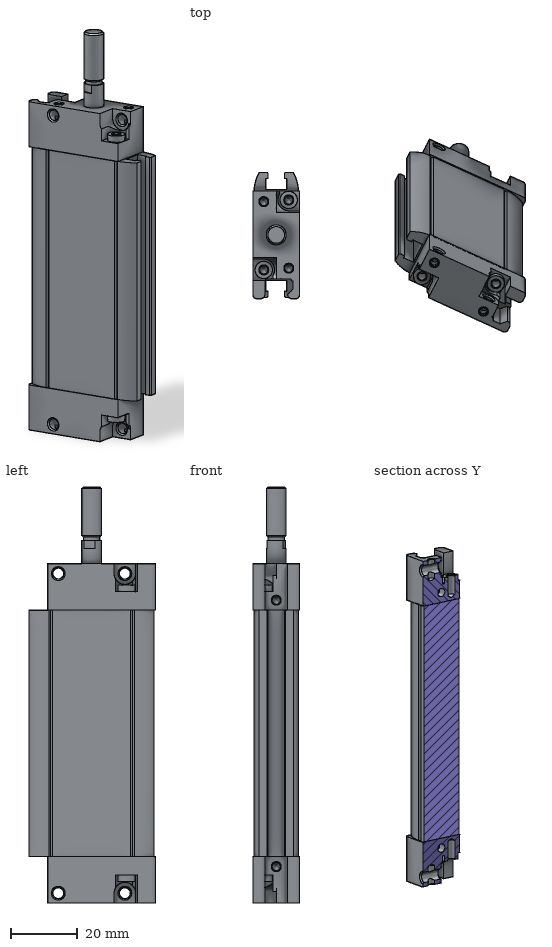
import cadquery as cq
import math


TOTAL_HEIGHT = 125.0
HEAD_HEIGHT = 14.0
ROD_PROJECTION = 23.0
TOTAL_DEPTH = 38.0
BARREL_LENGTH = TOTAL_HEIGHT - ROD_PROJECTION - 2 * HEAD_HEIGHT
LOWER_JOINT_Z = HEAD_HEIGHT
UPPER_JOINT_Z = LOWER_JOINT_Z + BARREL_LENGTH

BARREL_HALF_WIDTH = 6.7
BARREL_HALF_DEPTH = 18.8
FLANK_END_Y = 12.85
JAW_RADIUS = 12.0
GROOVE_WIDTH = 1.1
GROOVE_DEPTH = GROOVE_WIDTH / 2
SLOT_HALF_WIDTH = 3.15
SLOT_FLOOR_Y = 13.7
LIP_HALF_GAP = 2.45
LIP_INNER_Y = 16.9
LIP_CHAMFER = 0.37

HEAD_HALF_WIDTH = 7.0
HEAD_HALF_DEPTH = 13.2
ARM_END_Y = BARREL_HALF_DEPTH - TOTAL_DEPTH
ARM_INNER_X = 3.45
ARM_TIP_FILLET = 1.15
ARM_ROOT_FILLET = 0.7
UNDERCUT_X = 5.1
UNDERCUT_STRAIGHT_END_Y = -16.2
UNDERCUT_END_Y = UNDERCUT_STRAIGHT_END_Y - (UNDERCUT_X - ARM_INNER_X)

M3_BORE = 2.46
M3_MOUTH = 3.0
M3_DEPTH = 6.0
M4_BORE = 3.24
M4_MOUTH = 4.13
DRILL_TIP_ANGLE = 118.0
HOLE_X = 3.75
HOLE_Y = 10.0
CROSS_HOLE_DROP = 3.0
PORT_DROP = 11.0

POCKET_HALF_WIDTH = 3.25
SCREW_Y = 10.5
SCREW_BORE = 6.5
POCKET_OUTER_Y = 13.75
WINDOW_END_X = -1.0
SCREW_FLOOR_DROP = 8.4
SCREW_HEAD_DIAMETER = 5.2
SCREW_HEAD_HEIGHT = 1.9

ROD_DIAMETER = 6.0
NECK_DIAMETER = 5.0
ROD_CHAMFER = (ROD_DIAMETER - NECK_DIAMETER) / 2
THREAD_LENGTH = 15.0
NECK_LENGTH = 1.0
ACROSS_FLATS = 5.0
FLAT_LENGTH = 2.5
FLAT_ANGLE = -15.0


def barrel_quarter():
    """The +X, +Y quarter of the barrel, with one jaw beside the sensor slot."""
    jaw_reach = BARREL_HALF_DEPTH - FLANK_END_Y

    def jaw_x(distance):
        """X of the rounded jaw at a distance beyond the end of the flank."""
        return BARREL_HALF_WIDTH - JAW_RADIUS + math.sqrt(JAW_RADIUS**2 - distance**2)

    return (
        cq.Workplane("XY")
        .moveTo(0, 0)
        .lineTo(BARREL_HALF_WIDTH, 0)
        .lineTo(BARREL_HALF_WIDTH, FLANK_END_Y - GROOVE_WIDTH)
        .lineTo(BARREL_HALF_WIDTH - GROOVE_DEPTH, FLANK_END_Y - GROOVE_WIDTH / 2)
        .lineTo(BARREL_HALF_WIDTH, FLANK_END_Y)
        .threePointArc(
            (jaw_x(jaw_reach / 2), FLANK_END_Y + jaw_reach / 2),
            (jaw_x(jaw_reach), BARREL_HALF_DEPTH),
        )
        .lineTo(LIP_HALF_GAP + LIP_CHAMFER, BARREL_HALF_DEPTH)
        .lineTo(LIP_HALF_GAP, BARREL_HALF_DEPTH - LIP_CHAMFER)
        .lineTo(LIP_HALF_GAP, LIP_INNER_Y)
        .lineTo(SLOT_HALF_WIDTH, LIP_INNER_Y)
        .lineTo(SLOT_HALF_WIDTH, SLOT_FLOOR_Y)
        .lineTo(0, SLOT_FLOOR_Y)
        .close()
        .extrude(BARREL_LENGTH)
    )


def make_barrel():
    quarter = barrel_quarter()
    half = quarter.union(quarter.mirror("XZ"))
    barrel = half.union(half.mirror("YZ")).clean()
    return barrel.translate((0, 0, LOWER_JOINT_Z))


def threaded_hole(bore, mouth, depth, origin, direction):
    """Cutter for a blind hole with a 45 degree mouth chamfer and a conical drill tip."""
    chamfer = (mouth - bore) / 2
    tip = bore / 2 / math.tan(math.radians(DRILL_TIP_ANGLE / 2))
    section = (
        cq.Workplane("XZ")
        .moveTo(0, 0)
        .lineTo(mouth / 2, 0)
        .lineTo(bore / 2, -chamfer)
        .lineTo(bore / 2, -depth)
        .lineTo(0, -depth - tip)
        .close()
        .revolve(360, (0, 0, 0), (0, 1, 0))
    )
    plane = cq.Plane(origin=origin, normal=direction)
    return cq.Workplane(section.val().located(cq.Location(plane)))


def cross_hole():
    """Cutter along X from the -X face to the pocket wall at X = 0, chamfered at both ends."""
    chamfer = (M4_MOUTH - M4_BORE) / 2
    section = (
        cq.Workplane("XY")
        .moveTo(-HEAD_HALF_WIDTH, 0)
        .lineTo(-HEAD_HALF_WIDTH, M4_MOUTH / 2)
        .lineTo(-HEAD_HALF_WIDTH + chamfer, M4_BORE / 2)
        .lineTo(-chamfer, M4_BORE / 2)
        .lineTo(0, M4_MOUTH / 2)
        .lineTo(0, 0)
        .close()
        .revolve(360, (0, 0, 0), (1, 0, 0))
    )
    return section.translate((0, HOLE_Y, HEAD_HEIGHT - CROSS_HOLE_DROP))


def corner_box(end_x, start_y, end_y, floor_z):
    """Box from the -X face to end_x, open at the outer face of the head."""
    return (
        cq.Workplane("XY")
        .box(HEAD_HALF_WIDTH + end_x, end_y - start_y, HEAD_HEIGHT - floor_z, centered=False)
        .translate((-HEAD_HALF_WIDTH, start_y, floor_z))
    )


def screw_pocket():
    """Cutter for the pocket in the -X, -Y corner of a head."""
    wall_y = -HOLE_Y + POCKET_HALF_WIDTH
    axis_z = HEAD_HEIGHT - CROSS_HOLE_DROP
    floor_z = HEAD_HEIGHT - SCREW_FLOOR_DROP
    bore_radius = SCREW_BORE / 2
    bore_wall_y = -SCREW_Y + bore_radius
    window_y = -SCREW_Y - math.sqrt(bore_radius**2 - (WINDOW_END_X + HOLE_X) ** 2)

    upper = corner_box(0, -POCKET_OUTER_Y, wall_y, axis_z)
    rounded_floor = (
        cq.Workplane("YZ", origin=(-HEAD_HALF_WIDTH, -HOLE_Y, axis_z))
        .circle(POCKET_HALF_WIDTH)
        .extrude(HEAD_HALF_WIDTH)
    )
    screw_bore = (
        cq.Workplane("XY", origin=(-HOLE_X, -SCREW_Y, floor_z))
        .circle(bore_radius)
        .extrude(SCREW_FLOOR_DROP)
    )
    side_opening = corner_box(-HOLE_X, -POCKET_OUTER_Y, bore_wall_y, floor_z)
    front_window = corner_box(WINDOW_END_X, -POCKET_OUTER_Y, window_y, floor_z)
    screw_head = (
        cq.Workplane("XY", origin=(-HOLE_X, -SCREW_Y, floor_z))
        .circle(SCREW_HEAD_DIAMETER / 2)
        .extrude(SCREW_HEAD_HEIGHT)
    )
    pocket = upper
    for space in (rounded_floor, screw_bore, side_opening, front_window):
        pocket = pocket.union(space)
    return pocket.cut(screw_head)


def head_blank():
    """Head with its two arms, from the joint face at Z = 0 to the outer face."""
    body = cq.Workplane("XY").box(
        2 * HEAD_HALF_WIDTH, 2 * HEAD_HALF_DEPTH, HEAD_HEIGHT, centered=(True, True, False)
    )
    arm_width = HEAD_HALF_WIDTH - ARM_INNER_X
    arm = (
        cq.Workplane("XY")
        .box(arm_width, -ARM_END_Y, HEAD_HEIGHT, centered=False)
        .translate((ARM_INNER_X, ARM_END_Y, 0))
        .edges("|Z and <Y")
        .fillet(ARM_TIP_FILLET)
    )
    undercut = (
        cq.Workplane("XY")
        .moveTo(0, -HEAD_HALF_DEPTH)
        .lineTo(UNDERCUT_X - ARM_ROOT_FILLET, -HEAD_HALF_DEPTH)
        .radiusArc((UNDERCUT_X, -HEAD_HALF_DEPTH - ARM_ROOT_FILLET), -ARM_ROOT_FILLET)
        .lineTo(UNDERCUT_X, UNDERCUT_STRAIGHT_END_Y)
        .lineTo(ARM_INNER_X, UNDERCUT_END_Y)
        .lineTo(0, UNDERCUT_END_Y)
        .close()
        .extrude(HEAD_HEIGHT)
    )
    root_fillet = (
        cq.Workplane("XY")
        .moveTo(-ARM_INNER_X, -HEAD_HALF_DEPTH)
        .lineTo(-ARM_INNER_X + ARM_ROOT_FILLET, -HEAD_HALF_DEPTH)
        .radiusArc((-ARM_INNER_X, -HEAD_HALF_DEPTH - ARM_ROOT_FILLET), -ARM_ROOT_FILLET)
        .close()
        .extrude(HEAD_HEIGHT)
    )
    plain_arm = arm.mirror("YZ")
    return body.union(plain_arm).union(root_fillet).union(arm.cut(undercut))


def half_turn(shape):
    return shape.rotate((0, 0, 0), (0, 0, 1), 180)


def make_head():
    """Finished head without a rod bore; its outer face points to +Z."""
    screw_top_z = HEAD_HEIGHT - SCREW_FLOOR_DROP + SCREW_HEAD_HEIGHT
    face_hole = threaded_hole(
        M3_BORE, M3_MOUTH, M3_DEPTH, (HOLE_X, -HOLE_Y, HEAD_HEIGHT), (0, 0, 1)
    )
    screw_hole = threaded_hole(
        M3_BORE, M3_MOUTH, M3_DEPTH, (-HOLE_X, -SCREW_Y, screw_top_z), (0, 0, 1)
    )
    port = threaded_hole(
        M3_BORE, M3_MOUTH, M3_DEPTH, (0, -HEAD_HALF_DEPTH, HEAD_HEIGHT - PORT_DROP), (0, -1, 0)
    )
    head = head_blank().cut(port)
    for cutter in (screw_pocket(), cross_hole(), face_hole, screw_hole):
        head = head.cut(cutter).cut(half_turn(cutter))
    return head


def make_upper_head():
    rod_bore = cq.Workplane("XY").circle(ROD_DIAMETER / 2).extrude(HEAD_HEIGHT)
    return make_head().cut(rod_bore).translate((0, 0, UPPER_JOINT_Z))


def make_lower_head():
    return make_head().mirror("XY").translate((0, 0, LOWER_JOINT_Z))


def make_rod():
    """Rod from the barrel end to its chamfered tip, with a thread relief neck and two flats."""
    neck_top_z = TOTAL_HEIGHT - THREAD_LENGTH
    shoulder_z = neck_top_z - NECK_LENGTH
    rod = (
        cq.Workplane("XZ")
        .moveTo(0, UPPER_JOINT_Z)
        .lineTo(ROD_DIAMETER / 2, UPPER_JOINT_Z)
        .lineTo(ROD_DIAMETER / 2, shoulder_z)
        .lineTo(NECK_DIAMETER / 2, shoulder_z)
        .lineTo(NECK_DIAMETER / 2, neck_top_z)
        .lineTo(ROD_DIAMETER / 2, neck_top_z + ROD_CHAMFER)
        .lineTo(ROD_DIAMETER / 2, TOTAL_HEIGHT - ROD_CHAMFER)
        .lineTo(ROD_DIAMETER / 2 - ROD_CHAMFER, TOTAL_HEIGHT)
        .lineTo(0, TOTAL_HEIGHT)
        .close()
        .revolve(360, (0, 0, 0), (0, 1, 0))
    )
    for side in (-1, 1):
        flat = (
            cq.Workplane("XY")
            .box(ROD_DIAMETER, ROD_DIAMETER, FLAT_LENGTH, centered=(True, True, False))
            .translate((side * (ACROSS_FLATS + ROD_DIAMETER) / 2, 0, shoulder_z - FLAT_LENGTH))
            .rotate((0, 0, 0), (0, 0, 1), FLAT_ANGLE)
        )
        rod = rod.cut(flat)
    return rod


barrel = make_barrel()
upper_head = make_upper_head()
lower_head = make_lower_head()
rod = make_rod()

bodies = (barrel, upper_head, lower_head, rod)
result = cq.Compound.makeCompound([body.solids().val() for body in bodies])